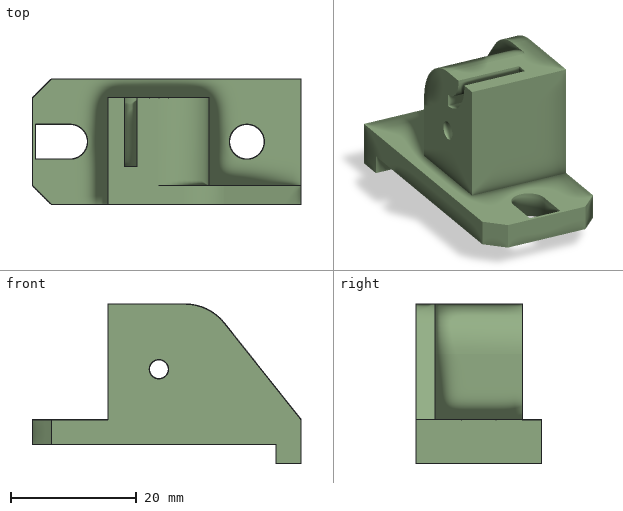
import cadquery as cq
import math

length = 42.75
width = 20.0
height = 25.39
lip_height = 3.0
lip_length = 4.0
plate_thickness = 4.0
plate_top = lip_height + plate_thickness
corner_chamfer = 3.0

screw_diameter = 5.5
screw_y = width / 2
screw_hole_x = 34.125
slot_start_x = 0.5
slot_arc_x = 6.0

block_start_x = 12.0
block_width = 17.0
round_radius = 8.0
round_center_z = height - round_radius
block_round_x = 20.125
block_end_x = block_round_x + round_radius

wall_thickness = 3.0
wall_round_x = 24.27

pin_diameter = 3.0
pin_z = 15.0

groove_straight_depth = 0.5
groove_center_z = height - groove_straight_depth
groove_inner_radius = 3.5
groove_outer_radius = 5.5
groove_start_y = 6.05


def extrude_along_y(profile, start_y, end_y):
    """Extrude a profile drawn on the XZ plane from start_y to end_y."""
    return profile.extrude(start_y - end_y).translate((0, start_y, 0))


def make_base():
    plate = (
        cq.Workplane("XY")
        .box(length, width, plate_thickness, centered=False)
        .edges("|Z and <X")
        .chamfer(corner_chamfer)
        .translate((0, 0, lip_height))
    )
    lip = (
        cq.Workplane("XY")
        .box(lip_length, width, plate_top, centered=False)
        .translate((length - lip_length, 0, 0))
    )
    return plate.union(lip)


def make_block():
    diagonal = round_radius * math.sqrt(0.5)
    profile = (
        cq.Workplane("XZ")
        .moveTo(block_start_x, lip_height)
        .lineTo(block_start_x, height)
        .lineTo(block_round_x, height)
        .threePointArc(
            (block_round_x + diagonal, round_center_z + diagonal),
            (block_end_x, round_center_z),
        )
        .lineTo(block_end_x, lip_height)
        .close()
    )
    return extrude_along_y(profile, 0, block_width)


def make_wall():
    run = length - wall_round_x
    rise = round_center_z - plate_top
    slope = math.atan2(rise, run) + math.asin(round_radius / math.hypot(run, rise))

    def arc_point(angle):
        """Point on the shoulder, at an angle from straight up towards +X."""
        return (
            wall_round_x + round_radius * math.sin(angle),
            round_center_z + round_radius * math.cos(angle),
        )

    profile = (
        cq.Workplane("XZ")
        .moveTo(block_start_x, lip_height)
        .lineTo(block_start_x, height)
        .lineTo(wall_round_x, height)
        .threePointArc(arc_point(slope / 2), arc_point(slope))
        .lineTo(length, plate_top)
        .lineTo(length, lip_height)
        .close()
    )
    return extrude_along_y(profile, 0, wall_thickness)


def make_screw_openings():
    hole = cq.Workplane("XY").center(screw_hole_x, screw_y).circle(screw_diameter / 2).extrude(plate_top)
    slot_end = cq.Workplane("XY").center(slot_arc_x, screw_y).circle(screw_diameter / 2).extrude(plate_top)
    slot_body = (
        cq.Workplane("XY")
        .box(slot_arc_x - slot_start_x, screw_diameter, plate_top, centered=False)
        .translate((slot_start_x, screw_y - screw_diameter / 2, 0))
    )
    return hole.union(slot_end).union(slot_body)


def make_pin_hole():
    profile = cq.Workplane("XZ").center(block_round_x, pin_z).circle(pin_diameter / 2)
    return extrude_along_y(profile, 0, block_width)


def make_groove():
    def ring_point(radius, angle):
        """Point on the ring, at an angle from its -X side downwards."""
        return (
            block_round_x - radius * math.cos(angle),
            groove_center_z - radius * math.sin(angle),
        )

    quarter = math.pi / 2
    profile = (
        cq.Workplane("XZ")
        .moveTo(block_round_x - groove_outer_radius, height)
        .lineTo(*ring_point(groove_outer_radius, 0))
        .threePointArc(
            ring_point(groove_outer_radius, quarter / 2),
            ring_point(groove_outer_radius, quarter),
        )
        .lineTo(*ring_point(groove_inner_radius, quarter))
        .threePointArc(
            ring_point(groove_inner_radius, quarter / 2),
            ring_point(groove_inner_radius, 0),
        )
        .lineTo(block_round_x - groove_inner_radius, height)
        .close()
    )
    return extrude_along_y(profile, groove_start_y, block_width)


body = make_base().union(make_block()).union(make_wall())
result = body.cut(make_screw_openings()).cut(make_pin_hole()).cut(make_groove())